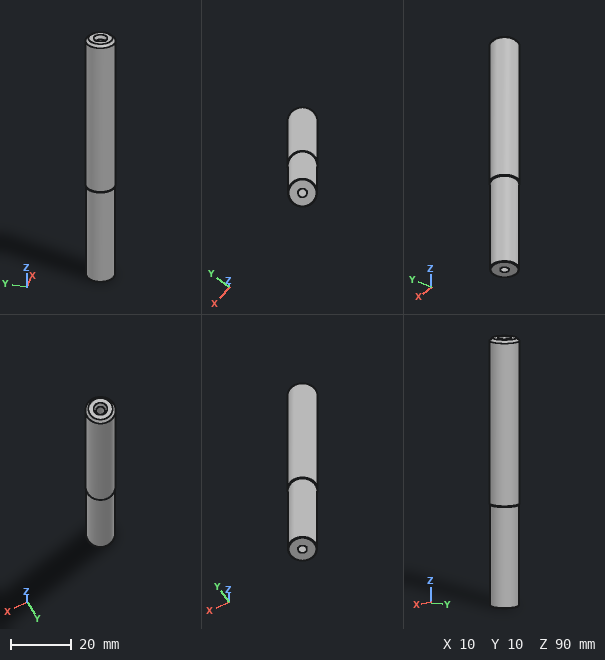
import cadquery as cq
import math

length = 90.0
head_diameter = 10.0
shank_diameter = 9.6
shank_length = 34.0
top_chamfer = 1.0
step_chamfer = 0.45
bottom_chamfer = 0.3
bore_diameter = 3.0
countersink_diameter = 4.5
countersink_angle = 60.0

head_radius = head_diameter / 2
shank_radius = shank_diameter / 2
bore_radius = bore_diameter / 2
countersink_radius = countersink_diameter / 2
countersink_depth = (countersink_radius - bore_radius) / math.tan(math.radians(countersink_angle / 2))



def make_body():
    """Revolve the half profile of the chamfered, stepped pin."""
    profile = (
        cq.Workplane("XZ")
        .lineTo(shank_radius - bottom_chamfer, 0)
        .lineTo(shank_radius, bottom_chamfer)
        .lineTo(shank_radius, shank_length)
        .lineTo(head_radius, shank_length + step_chamfer)
        .lineTo(head_radius, length - top_chamfer)
        .lineTo(head_radius - top_chamfer, length)
        .lineTo(0, length)
        .close()
    )
    return profile.revolve(360, (0, 0, 0), (0, 1, 0))


def make_bore():
    """Through bore with a conical countersink at the top."""
    profile = (
        cq.Workplane("XZ")
        .lineTo(bore_radius, 0)
        .lineTo(bore_radius, length - countersink_depth)
        .lineTo(countersink_radius, length)
        .lineTo(0, length)
        .close()
    )
    return profile.revolve(360, (0, 0, 0), (0, 1, 0))


result = make_body().cut(make_bore())